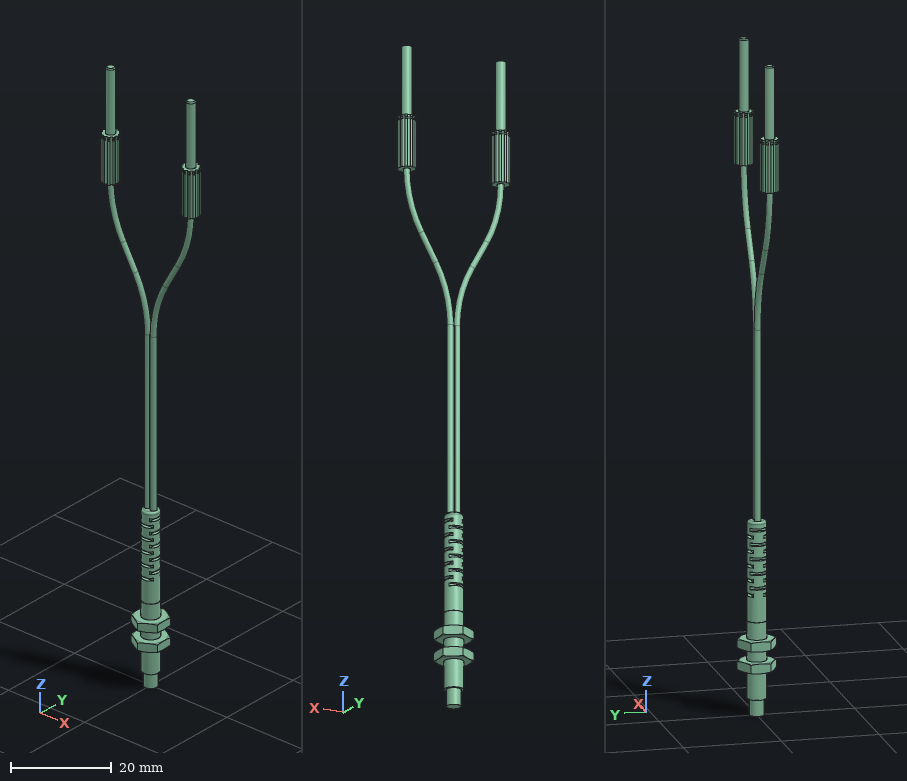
import cadquery as cq
import math

overall_width = 25.26
overall_length = 136.62

tip_diameter = 3.0
barrel_diameter = 4.0
barrel_bottom = 3.5
barrel_top = 19.5

nut_across_flats = 7.0
nut_thickness = 2.0
nut_bottoms = (9.4, 13.9)
nut_face_diameter = 7.0
nut_chamfer_angle = 15.0

sleeve_diameter = 3.9
sleeve_top = 40.2
sleeve_rim_fillet = 0.5
slot_count = 10
slot_pitch = 1.5
slot_height = 0.6
slot_floor = 1.05
first_slot_height = 25.0

cable_diameter = 1.4
cable_spacing = 1.5
web_thickness = 0.6
cable_overlap = 1.0
fork_height = 79.6
bend_angle = math.radians(29.0)

grip_diameter = 4.2
grip_bottom = 110.8
grip_top = 121.6
grip_rim = 0.4
grip_groove_diameter = 3.8
grip_groove_width = 0.4
flute_count = 12
flute_diameter = 0.6
ferrule_diameter = 2.1
ferrule_chamfer = 0.25

cable_offset = cable_spacing / 2
cable_bottom = sleeve_top - cable_overlap
branch_offset = (overall_width - grip_diameter) / 2


def rod(diameter, bottom, top, x=0.0):
    """Upright cylinder between two heights, its axis at the given X."""
    return cq.Workplane("XY", origin=(x, 0, bottom)).circle(diameter / 2).extrude(top - bottom)


def make_nut(bottom):
    """Hex nut, flats facing +-X, with its corners chamfered on both faces."""
    flats_turn = 30
    corner_radius = nut_across_flats / math.sqrt(3)
    face_radius = nut_face_diameter / 2
    drop = (corner_radius - face_radius) * math.tan(math.radians(nut_chamfer_angle))
    hexagon = (
        cq.Workplane("XY", origin=(0, 0, bottom))
        .polygon(6, 2 * corner_radius)
        .extrude(nut_thickness)
        .rotate((0, 0, 0), (0, 0, 1), flats_turn)
    )
    chamfer_envelope = (
        cq.Workplane("XZ", origin=(0, 0, bottom))
        .polyline([
            (0, 0),
            (face_radius, 0),
            (corner_radius, drop),
            (corner_radius, nut_thickness - drop),
            (face_radius, nut_thickness),
            (0, nut_thickness),
        ])
        .close()
        .revolve(360, (0, 0, 0), (0, 1, 0))
    )
    return hexagon.intersect(chamfer_envelope)


def make_sleeve():
    """Sleeve cut by opposite slots, from the Y sides and the X sides in turn."""
    sleeve = rod(sleeve_diameter, barrel_top, sleeve_top).faces(">Z").edges().fillet(sleeve_rim_fillet)
    slot_depth = sleeve_diameter / 2
    for level in range(slot_count):
        height = first_slot_height + level * slot_pitch
        turn = 90 if level % 2 == 0 else 0
        for side in (0, 180):
            slot = (
                cq.Workplane("XY")
                .box(slot_depth, 2 * sleeve_diameter, slot_height, centered=(False, True, True))
                .translate((slot_floor, 0, height))
                .rotate((0, 0, 0), (0, 0, 1), turn + side)
            )
            sleeve = sleeve.cut(slot)
    return sleeve


def make_cable():
    """Cable on the +X side: straight, bent outwards, slanted, bent back upright."""
    slant_run = branch_offset - cable_offset
    rise = grip_bottom - fork_height
    sine = math.sin(bend_angle)
    cosine = math.cos(bend_angle)
    bend_radius = (rise * sine - slant_run * cosine) / (2 * (1 - cosine))

    def bend_offset(angle):
        return (bend_radius * (1 - math.cos(angle)), bend_radius * math.sin(angle))

    middle_x, middle_z = bend_offset(bend_angle / 2)
    end_x, end_z = bend_offset(bend_angle)
    path = (
        cq.Workplane("XZ")
        .moveTo(cable_offset, cable_bottom)
        .lineTo(cable_offset, fork_height)
        .threePointArc(
            (cable_offset + middle_x, fork_height + middle_z),
            (cable_offset + end_x, fork_height + end_z),
        )
        .lineTo(branch_offset - end_x, grip_bottom - end_z)
        .threePointArc(
            (branch_offset - middle_x, grip_bottom - middle_z),
            (branch_offset, grip_bottom),
        )
        .lineTo(branch_offset, grip_bottom + cable_overlap)
    )
    return (
        cq.Workplane("XY", origin=(cable_offset, 0, cable_bottom))
        .circle(cable_diameter / 2)
        .sweep(path)
    )


def make_branch_end():
    """Fluted grip, with a groove under its top rim, and ferrule on the +X side."""
    groove_top = grip_top - grip_rim
    groove_bottom = groove_top - grip_groove_width
    grip = rod(grip_diameter, grip_bottom, grip_top, branch_offset)
    for index in range(flute_count):
        angle = 2 * math.pi * (index + 0.5) / flute_count
        flute = rod(flute_diameter, grip_bottom, grip_top).translate((
            branch_offset + grip_diameter / 2 * math.cos(angle),
            grip_diameter / 2 * math.sin(angle),
            0,
        ))
        grip = grip.cut(flute)
    groove_ring = rod(2 * grip_diameter, groove_bottom, groove_top, branch_offset).cut(
        rod(grip_groove_diameter, groove_bottom, groove_top, branch_offset)
    )
    grip = grip.cut(groove_ring)
    ferrule = rod(ferrule_diameter, grip_top, overall_length, branch_offset)
    ferrule = ferrule.faces(">Z").edges().chamfer(ferrule_chamfer)
    return grip.union(ferrule)


def make_web():
    """Flat web joining the two cables from the sleeve up to the fork."""
    return (
        cq.Workplane("XY", origin=(0, 0, cable_bottom))
        .rect(cable_spacing, web_thickness)
        .extrude(fork_height - cable_bottom)
    )


result = rod(tip_diameter, 0, barrel_bottom)
result = result.union(rod(barrel_diameter, barrel_bottom, barrel_top))
for nut_bottom in nut_bottoms:
    result = result.union(make_nut(nut_bottom))
result = result.union(make_sleeve())
result = result.union(make_web())
branch = make_cable().union(make_branch_end())
result = result.union(branch).union(branch.mirror("YZ"))